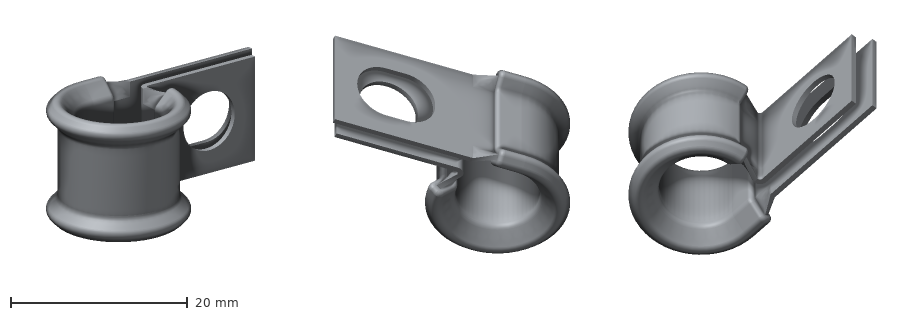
import cadquery as cq
import math


loop_diameter = 16.45
total_length = 30.8
loop_height = 14.38

strap_thickness = 0.65
strap_width = 12.72
strap_inner_radius = 5.55
strap_outer_radius = strap_inner_radius + strap_thickness
long_tab_flare = 2.52
flat_half_width = 4.5

cushion_wall = 0.75
end_round = 0.52
neck_outer_round = 0.75
neck_inner_round = 1.02
loop_sweep = 270
leg_length = 3.08

tab_end = total_length - loop_diameter / 2
short_tab_shortfall = 1.1
short_tab_x = -4.03
bend_inner_radius = 0.4
bend_outer_radius = bend_inner_radius + strap_thickness
short_tab_flare = -short_tab_x - bend_outer_radius

hole_diameter = 7.15
slot_length = 9.58
hole_y = 15.05

diagonal = math.sqrt(0.5)

rim_outer_radius = loop_diameter / 2 - cushion_wall
rim_inner_radius = rim_outer_radius - strap_thickness * diagonal
rim_inner_z = loop_height / 2 - cushion_wall
rim_outer_z = rim_inner_z - strap_thickness * diagonal


def rounded_outline(workplane, corners):
    """Closed outline through (x, y, radius) corners, each rounded by a tangent arc."""
    arcs = []
    for i, (x, y, radius) in enumerate(corners):
        corner = cq.Vector(x, y)
        to_previous = (cq.Vector(*corners[i - 1][:2]) - corner).normalized()
        to_next = (cq.Vector(*corners[(i + 1) % len(corners)][:2]) - corner).normalized()
        half_angle = to_previous.getAngle(to_next) / 2
        setback = radius / math.tan(half_angle)
        middle_distance = radius / math.sin(half_angle) - radius
        middle = corner + (to_previous + to_next).normalized() * middle_distance
        arcs.append((corner + to_previous * setback, middle, corner + to_next * setback))

    outline = workplane.moveTo(*arcs[0][0].toTuple()[:2])
    for i, (start, middle, end) in enumerate(arcs):
        if i > 0:
            outline = outline.lineTo(*start.toTuple()[:2])
        outline = outline.threePointArc(middle.toTuple()[:2], end.toTuple()[:2])
    return outline.close()


def cushion_section():
    """Cross-section on the -X side: a straight wall flaring outward at 45 degrees to both rims."""
    wall_outer = strap_outer_radius + cushion_wall
    wall_inner = strap_inner_radius - cushion_wall
    corner_reach = cushion_wall / diagonal
    outer_tip = (rim_outer_radius + corner_reach, rim_outer_z)
    inner_tip = (rim_inner_radius, rim_inner_z + corner_reach)
    outer_neck = (wall_outer, outer_tip[1] - (outer_tip[0] - wall_outer))
    inner_neck = (wall_inner, inner_tip[1] - (inner_tip[0] - wall_inner))
    upper_half = [
        (*outer_neck, neck_outer_round),
        (*outer_tip, cushion_wall),
        (*inner_tip, cushion_wall),
        (*inner_neck, neck_inner_round),
    ]
    corners = [(-radius, z, rounding) for radius, z, rounding in upper_half]
    corners += [(-radius, -z, rounding) for radius, z, rounding in reversed(upper_half)]
    return rounded_outline(cq.Workplane("XZ"), corners)


def make_cushion():
    """Three-quarter loop plus a straight leg, both with rounded end edges."""
    loop = cushion_section().revolve(loop_sweep, (0, 0), (0, 1))
    free_end = cq.selectors.NearestToPointSelector((0, strap_outer_radius, 0))
    loop = loop.faces(free_end).edges().fillet(end_round)
    leg = cushion_section().extrude(-leg_length)
    leg = leg.faces(">Y").edges().fillet(end_round)
    return loop.union(leg)


def make_transition(cushion_end, length):
    """Strap stretch along +Y beyond a cushion end, its edges easing from flared to flat."""
    web = (
        cq.Workplane("XY")
        .box(strap_thickness, length + end_round, 2 * flat_half_width, centered=(False, False, True))
        .translate((-strap_outer_radius, cushion_end - end_round, 0))
    )
    flared = [
        (-strap_outer_radius, flat_half_width),
        (-rim_outer_radius, rim_outer_z),
        (-rim_inner_radius, rim_inner_z),
        (-strap_inner_radius, flat_half_width),
    ]
    flat = [
        (-strap_outer_radius, flat_half_width),
        (-strap_outer_radius, strap_width / 2),
        (-strap_inner_radius, strap_width / 2),
        (-strap_inner_radius, flat_half_width),
    ]
    edge = (
        cq.Workplane("XZ", origin=(0, cushion_end, 0))
        .polyline(flared).close()
        .workplane(offset=-length)
        .polyline(flat).close()
        .loft(ruled=True)
    )
    return web.union(edge).union(edge.mirror("XY"))


def make_long_tab():
    start = leg_length + long_tab_flare
    return (
        cq.Workplane("XY")
        .box(strap_thickness, tab_end - start, strap_width, centered=(False, False, True))
        .translate((-strap_outer_radius, start, 0))
    )


def make_short_tab():
    """L-shaped tab with a rounded bend, ending where its edges begin to flare."""
    inner_x = short_tab_x + strap_thickness
    bend_x = short_tab_x + bend_outer_radius
    bend_y = strap_inner_radius + bend_outer_radius
    end_y = tab_end - short_tab_shortfall
    return (
        cq.Workplane("XY", origin=(0, 0, -strap_width / 2))
        .moveTo(short_tab_x, end_y)
        .lineTo(short_tab_x, bend_y)
        .radiusArc((bend_x, strap_inner_radius), -bend_outer_radius)
        .lineTo(bend_x, strap_outer_radius)
        .radiusArc((inner_x, bend_y), bend_inner_radius)
        .lineTo(inner_x, end_y)
        .close()
        .extrude(strap_width)
    )


def make_slot_cutter():
    return (
        cq.Workplane("YZ", origin=(-strap_outer_radius, hole_y, 0))
        .slot2D(slot_length, hole_diameter)
        .extrude(strap_thickness)
    )


def make_hole_cutter():
    return (
        cq.Workplane("YZ", origin=(short_tab_x, hole_y, 0))
        .circle(hole_diameter / 2)
        .extrude(strap_thickness)
    )


long_tab = make_long_tab().cut(make_slot_cutter())
short_tab = make_short_tab().cut(make_hole_cutter())

long_transition = make_transition(leg_length, long_tab_flare)
short_transition = make_transition(0, short_tab_flare).rotate((0, 0, 0), (-1, 1, 0), 180)

result = (
    make_cushion()
    .union(long_transition)
    .union(short_transition)
    .union(long_tab)
    .union(short_tab)
)